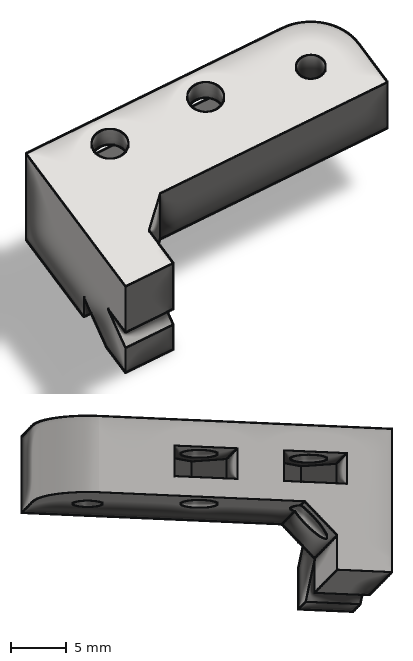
import cadquery as cq
import math

length = 31.75
foot_width = 17.2
foot_height = 13.1

arm_width = 10.0
arm_thickness = 7.0
end_radius = arm_width / 2
foot_depth = arm_width / 2
gusset_leg = 3.0

upper_notch_depth = 3.05
upper_notch_height = 2.35
lower_notch_height = 3.0
lower_notch_width = lower_notch_height * upper_notch_depth / upper_notch_height

end_hole_diameter = 2.67
screw_hole_diameter = 3.3
screw_x = 3.0
first_screw_y = 7.0
screw_pitch = 10.0
screw_centers = [(screw_x, first_screw_y + i * screw_pitch) for i in range(2)]
nut_across_flats = 5.7
nut_pocket_height = 2.8
nut_pocket_top = -2.4


def make_arm():
    """Flat arm with one rounded end corner and a gusset towards the wide foot."""
    profile = (
        cq.Workplane("XY")
        .lineTo(foot_width, 0)
        .lineTo(foot_width, foot_depth)
        .lineTo(arm_width + gusset_leg, foot_depth)
        .lineTo(arm_width, foot_depth + gusset_leg)
        .lineTo(arm_width, length)
        .lineTo(end_radius, length)
        .radiusArc((0, length - end_radius), -end_radius)
        .close()
    )
    return profile.extrude(-arm_thickness)


def make_foot():
    """Upright block with two notches that leave a diagonal web at its corner."""
    profile = (
        cq.Workplane("XZ")
        .lineTo(foot_width, 0)
        .lineTo(foot_width, -arm_thickness)
        .lineTo(foot_width - upper_notch_depth, -arm_thickness)
        .lineTo(foot_width, -arm_thickness - upper_notch_height)
        .lineTo(foot_width, -foot_height)
        .lineTo(arm_width + lower_notch_width, -foot_height)
        .lineTo(arm_width, -foot_height + lower_notch_height)
        .lineTo(arm_width, -foot_height)
        .lineTo(0, -foot_height)
        .close()
    )
    return profile.extrude(-foot_depth)


def make_lower_gusset():
    """Triangular brace between the underside of the arm and the foot."""
    return (
        cq.Workplane("YZ")
        .moveTo(foot_depth, -arm_thickness)
        .lineTo(foot_depth + gusset_leg, -arm_thickness)
        .lineTo(foot_depth, -arm_thickness - gusset_leg)
        .close()
        .extrude(arm_width)
    )


def make_nut_pocket(center):
    """Hexagonal seat around a screw, open to the side face of the arm."""
    x, y = center
    half_width = nut_across_flats / 2
    corner_radius = nut_across_flats / math.sqrt(3)
    return (
        cq.Workplane("XY", origin=(0, 0, nut_pocket_top))
        .moveTo(0, y - half_width)
        .lineTo(x + corner_radius / 2, y - half_width)
        .lineTo(x + corner_radius, y)
        .lineTo(x + corner_radius / 2, y + half_width)
        .lineTo(0, y + half_width)
        .close()
        .extrude(-nut_pocket_height)
    )


def make_holes(centers, diameter):
    """Vertical through holes."""
    return cq.Workplane("XY").pushPoints(centers).circle(diameter / 2).extrude(-foot_height)


result = make_arm().union(make_foot()).union(make_lower_gusset())
result = result.cut(make_holes([(end_radius, length - end_radius)], end_hole_diameter))
result = result.cut(make_holes(screw_centers, screw_hole_diameter))
for screw_center in screw_centers:
    result = result.cut(make_nut_pocket(screw_center))